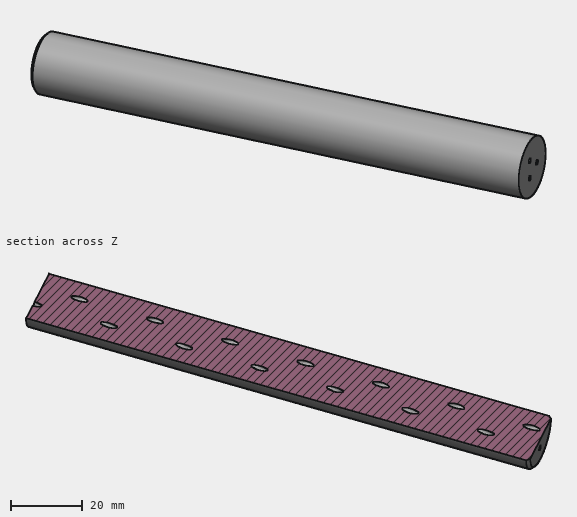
import cadquery as cq
import math

rod_length = 150.0
rod_diameter = 18.0
chamfer_size = 0.9

duct_count = 3
duct_diameter = 1.4
duct_circle_diameter = 6.3
duct_start_angle = 39.0
helix_angle = 40.0

helix_pitch = math.pi * rod_diameter / math.tan(math.radians(helix_angle))
duct_twist = 360.0 * rod_length / helix_pitch


def make_rod():
    """Cylinder along X with a 45 degree chamfer on the X = 0 end."""
    rod = cq.Workplane("YZ").circle(rod_diameter / 2).extrude(rod_length)
    return rod.faces("<X").chamfer(chamfer_size)


def make_duct(start_angle):
    """Round duct that twists about the X axis over the whole rod length."""
    circle_radius = duct_circle_diameter / 2
    centre_y = circle_radius * math.cos(math.radians(start_angle))
    centre_z = circle_radius * math.sin(math.radians(start_angle))
    section = cq.Workplane("YZ").center(centre_y, centre_z).circle(duct_diameter / 2)
    return section.center(-centre_y, -centre_z).twistExtrude(rod_length, duct_twist)


result = make_rod()
for index in range(duct_count):
    result = result.cut(make_duct(duct_start_angle + index * 360.0 / duct_count))